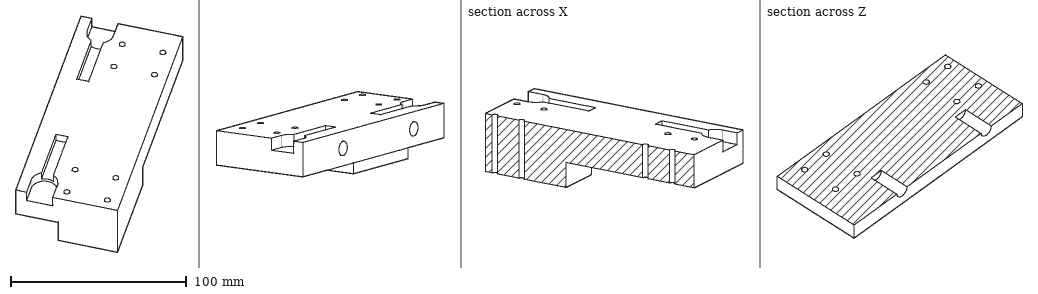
import cadquery as cq

length = 140.0
width = 60.0
height = 35.0
plate_thickness = 20.0
foot_start_x = 25.0
foot_length = 54.0
half_length = length / 2

pocket_x = 14.1
pocket_width = 15.4
pocket_depth = 7.0
pocket_reach = 17.5
slot_width = 7.0
slot_depth = 5.0
slot_reach = 47.7

screw_diameter = 3.4
screw_columns_x = (28.4, 52.4)
screw_row_spacing = 17.9
front_inset = 6.3
back_inset = 14.8
screw_rows_y = (
    -half_length + front_inset,
    -half_length + front_inset + screw_row_spacing,
    half_length - back_inset - screw_row_spacing,
    half_length - back_inset,
)

side_hole_diameter = 8.3
side_hole_depth = 20.0
side_hole_drop = 10.0
side_hole_spacing = 70.0
side_hole_back_y = 30.1
side_holes_y = (side_hole_back_y, side_hole_back_y - side_hole_spacing)


def box(size_x, size_y, size_z, corner):
    """Box with its lowest-coordinate corner at the given point."""
    return cq.Workplane("XY").box(size_x, size_y, size_z, centered=False).translate(corner)


def end_pocket():
    """Round-ended pocket and narrower slot, both running in from the -Y end."""
    radius = pocket_width / 2
    left = pocket_x - radius
    right = pocket_x + radius
    tip_y = -half_length + pocket_reach
    arc_start_y = tip_y - radius
    pocket = (
        cq.Workplane("XY", origin=(0, 0, height - pocket_depth))
        .moveTo(left, -half_length)
        .lineTo(right, -half_length)
        .lineTo(right, arc_start_y)
        .threePointArc((pocket_x, tip_y), (left, arc_start_y))
        .close()
        .extrude(pocket_depth)
    )
    slot_corner = (pocket_x - slot_width / 2, -half_length, height - slot_depth)
    return pocket.union(box(slot_width, slot_reach, slot_depth, slot_corner))


plate = box(width, length, plate_thickness, (0, -half_length, height - plate_thickness))
foot = box(width - foot_start_x, foot_length, height, (foot_start_x, -half_length, 0))
body = plate.union(foot)

front_pocket = end_pocket()
body = body.cut(front_pocket).cut(front_pocket.mirror("XZ"))

screw_points = [(x, y) for x in screw_columns_x for y in screw_rows_y]
screw_holes = cq.Workplane("XY").pushPoints(screw_points).circle(screw_diameter / 2).extrude(height)
body = body.cut(screw_holes)

side_points = [(y, height - side_hole_drop) for y in side_holes_y]
side_holes = cq.Workplane("YZ").pushPoints(side_points).circle(side_hole_diameter / 2).extrude(side_hole_depth)
result = body.cut(side_holes)